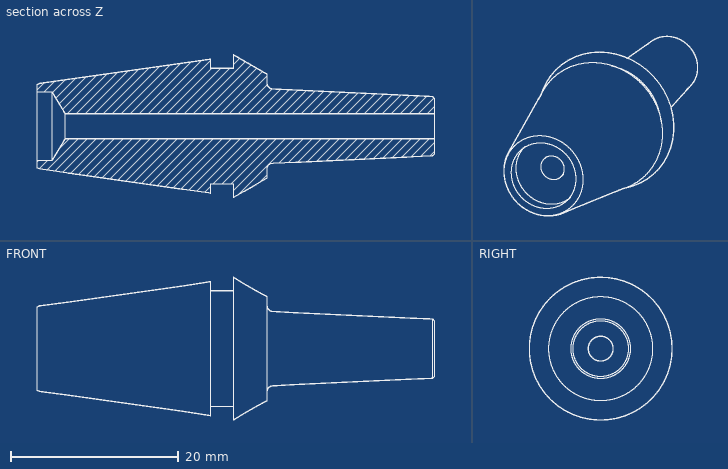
import cadquery as cq
import math

length = 47.5
head_end = 20.75
collar_start = 23.45
collar_end = 27.5
mouth_edge_length = 0.35
mouth_edge_height = 0.15
root_fillet = 0.65
tip_chamfer = 0.25

mouth_radius = 5.15
head_radius = 8.05
neck_radius = 6.95
collar_radius = 8.55
collar_slope = 30.0
collar_end_radius = collar_radius - (collar_end - collar_start) * math.tan(math.radians(collar_slope))
root_radius = 4.45
tip_radius = 3.55

socket_radius = 4.1
socket_depth = 1.8
socket_point_angle = 118.0
through_radius = 1.45


def make_body():
    """Revolve the tapered head, neck, flared collar and tapered stem about X."""
    mouth_face_radius = mouth_radius - mouth_edge_height
    tip_face_radius = tip_radius - tip_chamfer
    root_arc_middle = (
        collar_end + root_fillet * (1 - math.sqrt(0.5)),
        root_radius + root_fillet * (1 - math.sqrt(0.5)),
    )
    profile = (
        cq.Workplane("XY")
        .lineTo(0, mouth_face_radius)
        .lineTo(mouth_edge_length, mouth_radius)
        .lineTo(head_end, head_radius)
        .lineTo(head_end, neck_radius)
        .lineTo(collar_start, neck_radius)
        .lineTo(collar_start, collar_radius)
        .lineTo(collar_end, collar_end_radius)
        .lineTo(collar_end, root_radius + root_fillet)
        .threePointArc(root_arc_middle, (collar_end + root_fillet, root_radius))
        .lineTo(length - tip_chamfer, tip_radius)
        .lineTo(length, tip_face_radius)
        .lineTo(length, 0)
        .close()
    )
    return profile.revolve(360, (0, 0, 0), (1, 0, 0))


def make_bore():
    """Straight socket with a conical floor, leading into the through hole."""
    cone_depth = (socket_radius - through_radius) / math.tan(math.radians(socket_point_angle / 2))
    profile = (
        cq.Workplane("XY")
        .lineTo(0, socket_radius)
        .lineTo(socket_depth, socket_radius)
        .lineTo(socket_depth + cone_depth, through_radius)
        .lineTo(length, through_radius)
        .lineTo(length, 0)
        .close()
    )
    return profile.revolve(360, (0, 0, 0), (1, 0, 0))


result = make_body().cut(make_bore())